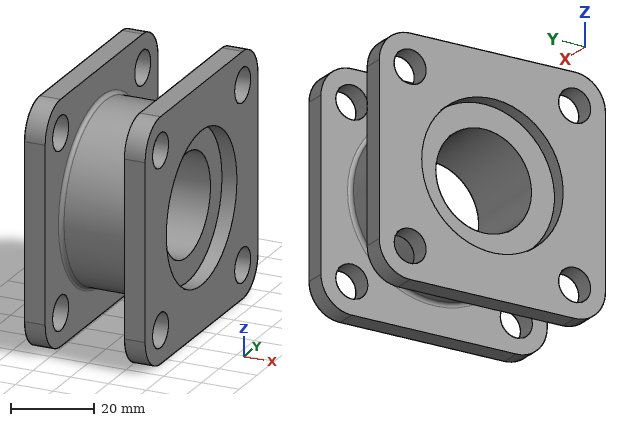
import cadquery as cq

length = 32.0
flange_side = 64.0

flange_thickness = 5.5
bolt_spacing = 46.5
bolt_hole_diameter = 9.0
corner_radius = (flange_side - bolt_spacing) / 2

barrel_diameter = 47.0
barrel_fillet = 1.0

bore_diameter = 27.0
recess_diameter = 40.0
recess_depth = 4.0


def cylinder_along_x(diameter, start, end):
    """Cylinder on the X axis from start to end."""
    return cq.Workplane("YZ", origin=(start, 0, 0)).circle(diameter / 2).extrude(end - start)


def flange(start):
    """Square flange with rounded corners and four bolt holes."""
    plate = (
        cq.Workplane("YZ", origin=(start, 0, 0))
        .rect(flange_side, flange_side)
        .extrude(flange_thickness)
        .edges("|X")
        .fillet(corner_radius)
    )
    bolt_holes = (
        cq.Workplane("YZ", origin=(start, 0, 0))
        .rect(bolt_spacing, bolt_spacing, forConstruction=True)
        .vertices()
        .circle(bolt_hole_diameter / 2)
        .extrude(flange_thickness)
    )
    return plate.cut(bolt_holes)


def barrel():
    """Barrel with a concave fillet where it meets each flange."""
    half_length = length / 2 - flange_thickness
    radius = barrel_diameter / 2
    root_radius = radius + barrel_fillet
    straight_end = half_length - barrel_fillet
    mid_offset = barrel_fillet * (1 - 0.5**0.5)
    return (
        cq.Workplane("XY")
        .moveTo(-half_length, 0)
        .lineTo(-half_length, root_radius)
        .threePointArc((-half_length + mid_offset, radius + mid_offset), (-straight_end, radius))
        .lineTo(straight_end, radius)
        .threePointArc((half_length - mid_offset, radius + mid_offset), (half_length, root_radius))
        .lineTo(half_length, 0)
        .close()
        .revolve(360, (0, 0, 0), (1, 0, 0))
    )


left_face = -length / 2
right_face = length / 2

body = barrel().union(flange(left_face)).union(flange(right_face - flange_thickness))
body = body.cut(cylinder_along_x(bore_diameter, left_face, right_face))
body = body.cut(cylinder_along_x(recess_diameter, left_face, left_face + recess_depth))
result = body.cut(cylinder_along_x(recess_diameter, right_face - recess_depth, right_face))